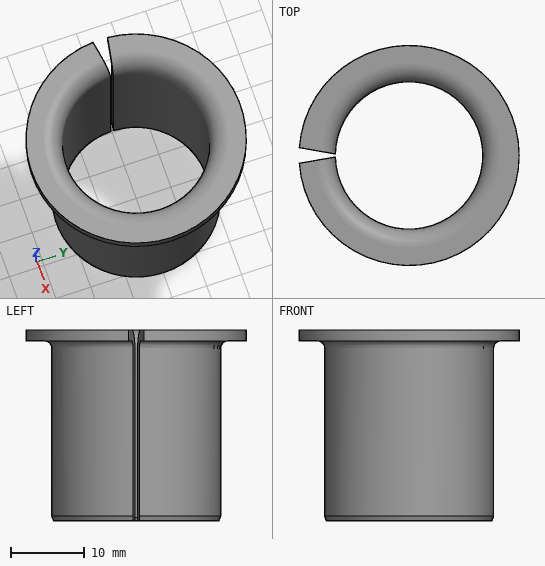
import cadquery as cq
import math

flange_radius = 15.0
height = 26.0
wall = 1.5
bore_radius = 10.0
mouth_round = 2.5
neck_fillet = mouth_round - wall
chamfer_height = 0.65
chamfer_inset = 0.25
bore_chamfer_height = 0.5
bore_chamfer_inset = 0.18
slit_apex_x = -8.95
slit_half_angle = 10.0

body_radius = bore_radius + wall
flange_underside = height - wall
round_center_radius = bore_radius + mouth_round
round_center_z = height - mouth_round


def on_round(radius):
    """Middle point of a quarter arc about the shared rounding center."""
    offset = radius * math.sqrt(0.5)
    return (round_center_radius - offset, round_center_z + offset)


def flanged_sleeve():
    """Revolve the wall profile, with concentric inner and outer bend arcs."""
    profile = (
        cq.Workplane("XZ")
        .moveTo(bore_radius + bore_chamfer_inset, 0)
        .lineTo(body_radius - chamfer_inset, 0)
        .lineTo(body_radius, chamfer_height)
        .lineTo(body_radius, round_center_z)
        .threePointArc(on_round(neck_fillet), (round_center_radius, flange_underside))
        .lineTo(flange_radius, flange_underside)
        .lineTo(flange_radius, height)
        .lineTo(round_center_radius, height)
        .threePointArc(on_round(mouth_round), (bore_radius, round_center_z))
        .lineTo(bore_radius, bore_chamfer_height)
        .close()
    )
    return profile.revolve(360, (0, 0), (0, 1)).rotate((0, 0, 0), (0, 0, 1), 180)


def slit():
    """Full-height wedge that opens outward through the -X side of the wall."""
    outer_x = -1.1 * flange_radius
    half_width = (slit_apex_x - outer_x) * math.tan(math.radians(slit_half_angle))
    return (
        cq.Workplane("XY")
        .polyline([(slit_apex_x, 0), (outer_x, half_width), (outer_x, -half_width)])
        .close()
        .extrude(height)
    )


result = flanged_sleeve().cut(slit())